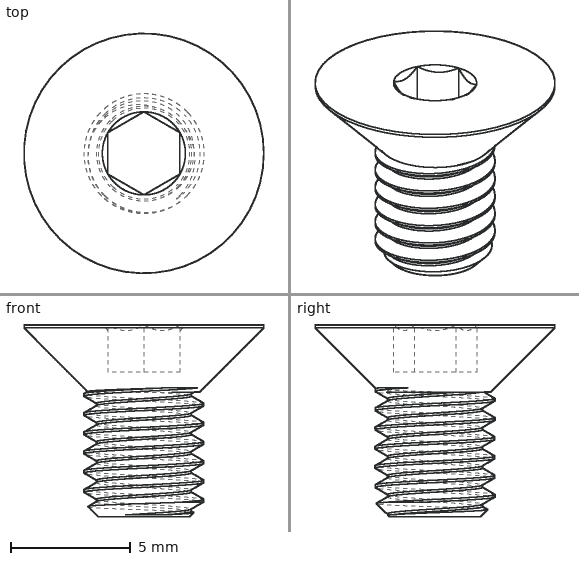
import cadquery as cq
import math

screw_length = 8.0
head_diameter = 10.0
head_height = 2.8
rim_height = 0.13

socket_across_flats = 3.0
socket_depth = 1.95

thread_diameter = 5.0
root_diameter = 3.96
pitch = 0.8
crest_width = pitch / 8
flank_slope = math.tan(math.radians(30))
first_crest_z = -0.92
tip_radius = 1.9
ridge_overlap = 0.04
head_overlap = 0.3

head_radius = head_diameter / 2
thread_radius = thread_diameter / 2
root_radius = root_diameter / 2
head_base_z = screw_length - head_height
shank_top_z = head_base_z + head_overlap


def revolved(points):
    """Turn an outline of (radius, height) points about the Z axis."""
    return cq.Workplane("XZ").polyline(points).close().revolve(360, (0, 0, 0), (0, 1, 0))


def make_head():
    """Countersunk head: a 45 degree cone below a thin cylindrical rim."""
    cone_height = head_height - rim_height
    rim_base_z = screw_length - rim_height
    return revolved([
        (0, head_base_z),
        (head_radius - cone_height, head_base_z),
        (head_radius, rim_base_z),
        (head_radius, screw_length),
        (0, screw_length),
    ])


def make_thread_ridge():
    """Helical ridge that runs past both ends of the shank."""
    inner_radius = root_radius - ridge_overlap
    half_crest = crest_width / 2
    half_base = half_crest + (thread_radius - inner_radius) * flank_slope
    helix_height = shank_top_z + pitch - first_crest_z
    helix = cq.Wire.makeHelix(pitch, helix_height, root_radius)
    profile = cq.Workplane("XZ").polyline([
        (inner_radius, -half_base),
        (thread_radius, -half_crest),
        (thread_radius, half_crest),
        (inner_radius, half_base),
    ]).close()
    ridge = profile.sweep(cq.Workplane(obj=helix), isFrenet=True)
    return ridge.translate((0, 0, first_crest_z))


def make_shank():
    """Threaded shank, trimmed to length and chamfered at the tip."""
    core = cq.Workplane("XY").circle(root_radius).extrude(shank_top_z)
    trim_radius = thread_radius + 0.1
    envelope = revolved([
        (0, 0),
        (tip_radius, 0),
        (trim_radius, trim_radius - tip_radius),
        (trim_radius, shank_top_z),
        (0, shank_top_z),
    ])
    core = core.intersect(envelope)
    ridge = make_thread_ridge().intersect(envelope)
    return core.union(ridge)


def make_socket():
    """Hexagon socket with a 45 degree lead-in reaching its corners."""
    across_corners = socket_across_flats / math.cos(math.radians(30))
    corner_radius = across_corners / 2
    hexagon = (
        cq.Workplane("XY", origin=(0, 0, screw_length))
        .polygon(6, across_corners)
        .extrude(-socket_depth)
        .rotate((0, 0, 0), (0, 0, 1), 30)
    )
    lead_in = revolved([
        (0, screw_length - corner_radius),
        (corner_radius, screw_length),
        (0, screw_length),
    ])
    return hexagon.union(lead_in)


result = make_head().union(make_shank()).cut(make_socket())